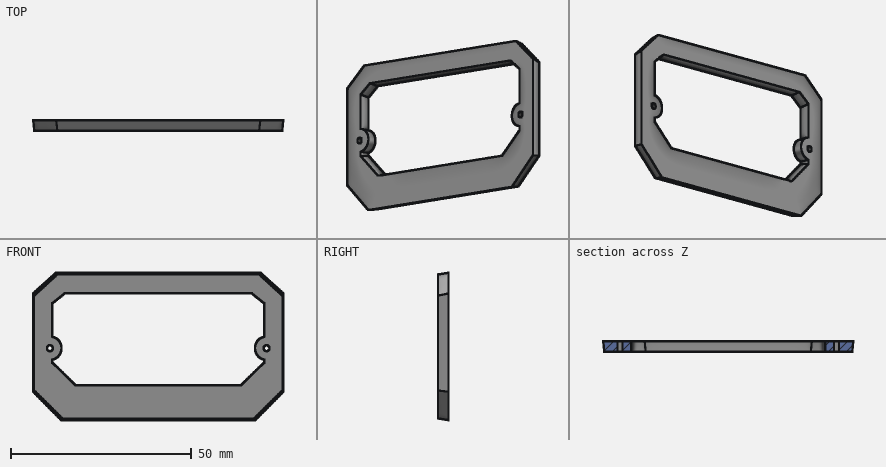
import cadquery as cq

width = 69.5
height = 41.0
thickness = 3.0

side_taper = 0.3
end_taper = 0.5

back_top_cut = (6.4, 5.8)
back_bottom_cut = (7.85, 7.9)
front_top_cut = (6.45, 5.9)
front_bottom_cut = (7.85, 7.8)

opening_half_width = 29.4
opening_top = 14.7
opening_bottom = -10.8
opening_top_cut = (3.5, 2.8)
opening_bottom_cut = (6.45, 6.3)

lug_x = 30.1
lug_z = -0.5
lug_radius = 3.3
screw_hole_diameter = 1.6

back_y = thickness / 2


def cut_corner_outline(half_width, bottom, top, bottom_cut, top_cut):
    """Points of a left-right symmetric rectangle with its four corners cut off."""
    right_side = [
        (half_width - bottom_cut[0], bottom),
        (half_width, bottom + bottom_cut[1]),
        (half_width, top - top_cut[1]),
        (half_width - top_cut[0], top),
    ]
    left_side = [(-x, z) for x, z in reversed(right_side)]
    return right_side + left_side


back_plane = cq.Workplane("XZ", origin=(0, back_y, 0))


def tapered_block(back_points, front_points):
    """Full-thickness block with flat walls between a back and a front outline."""
    return (
        back_plane.polyline(back_points).close()
        .workplane(offset=thickness)
        .polyline(front_points).close()
        .loft(ruled=True)
    )


back_outline = cut_corner_outline(
    width / 2, -height / 2, height / 2, back_bottom_cut, back_top_cut
)
front_outline = cut_corner_outline(
    width / 2 - side_taper,
    -height / 2 + end_taper,
    height / 2 - end_taper,
    front_bottom_cut,
    front_top_cut,
)
body = tapered_block(back_outline, front_outline)

opening_back = cut_corner_outline(
    opening_half_width + side_taper,
    opening_bottom - end_taper,
    opening_top + end_taper,
    opening_bottom_cut,
    opening_top_cut,
)
opening_front = cut_corner_outline(
    opening_half_width, opening_bottom, opening_top, opening_bottom_cut, opening_top_cut
)
opening = tapered_block(opening_back, opening_front)

lug_centers = [(-lug_x, lug_z), (lug_x, lug_z)]
lugs = back_plane.pushPoints(lug_centers).circle(lug_radius).extrude(thickness)
screw_holes = back_plane.pushPoints(lug_centers).circle(screw_hole_diameter / 2).extrude(thickness)

result = body.cut(opening).union(lugs).cut(screw_holes)